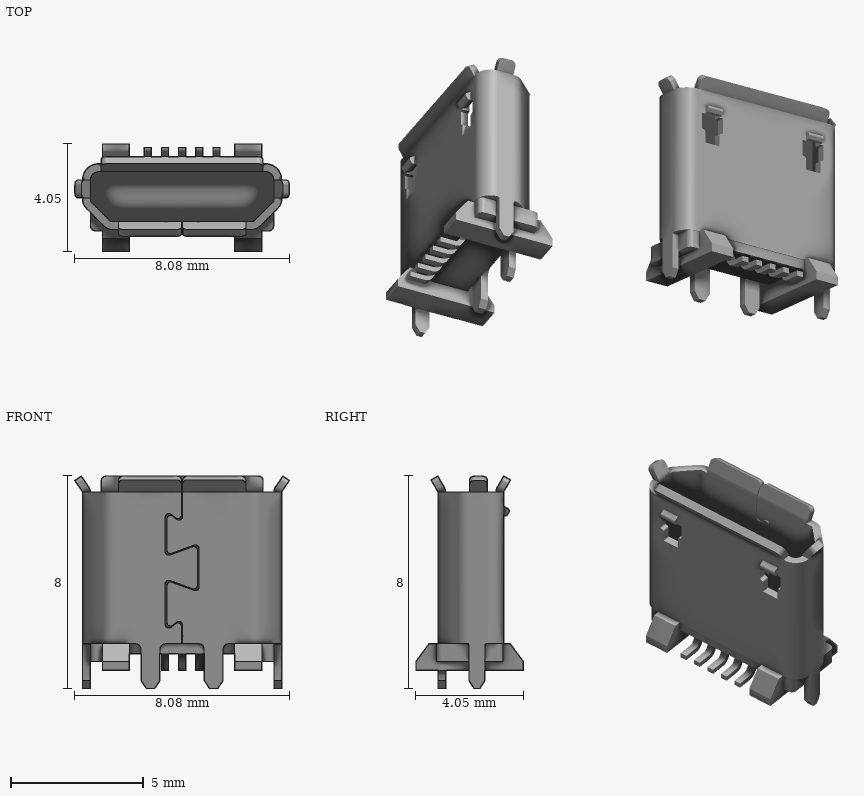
import cadquery as cq
import math


sheet = 0.3
shell_height = 5.71
half_width = 3.75
back_y = 1.285
front_y = -1.195
back_corner_radius = 0.615
front_bend_radius = 0.5
slope_run = 0.945

flare_length = 0.52
flare_corner_radius = 0.2
side_flare_angle = 34
wide_flare_angle = 30
side_flare_width = 0.68
side_flare_y = 0.33
back_flare_width = 6.09
front_flare_half_width = 2.4

seam_gap = 0.03
dovetail_gap = 0.065
dovetail_reach = 0.61
seam_corner_radius = 0.14
dovetail_tip_rise = 0.89
dovetail_root_rise = 0.445
hook_peak_rise = 2.14
hook_trough_rise = 1.68
lower_hook_offset = 0.23
slant_clearance = 0.03

window_x = 2.39
slot_width = 0.69
slot_top = 5.17
slot_bottom = 3.64
wide_width = 1.0
wide_middle_z = 4.51
wide_height = 0.56
flap_angle = 60
flap_length = 0.28
flap_tip_radius = 0.1

leg_length = 1.69
leg_tip_taper = 0.3
leg_tip_width = 0.315
front_leg_x = 1.19
front_leg_width = 0.71
front_leg_root_radius = 0.22
side_leg_y = 0.275
side_leg_width = 0.6
side_leg_tip_width = 0.22
side_leg_root_radius = 0.07

base_half_width = half_width - sheet
base_half_depth = 1.25
base_corner_radius = 0.21
base_depth = 0.67
bridge_depth = 0.38
bridge_front_y = front_y + sheet
floor_thickness = sheet
foot_inner_x = 1.98
foot_outer_x = 3.0
foot_length = 4.05
foot_top_length = 3.055
foot_depth = 1.0

contact_count = 5
contact_pitch = 0.65
contact_width = 0.275
contact_thickness = 0.2
contact_bend_radius = 0.355
contact_tilt = 30
contact_bend_y = 1.29
contact_end_y = 1.9


def box(x_range, y_range, z_range):
    """Box between the given limits."""
    size = [high - low for low, high in (x_range, y_range, z_range)]
    corner = (x_range[0], y_range[0], z_range[0])
    return cq.Workplane("XY").box(*size, centered=False).translate(corner)


def shell_block(inset, height):
    """Solid prism with sharp corners, following the shell outline moved inwards."""
    side = half_width - inset
    corner_shift = inset * math.tan(math.radians(22.5))
    slope_top = front_y + slope_run + corner_shift
    slope_end = half_width - slope_run - corner_shift
    outline = [
        (-side, back_y - inset),
        (side, back_y - inset),
        (side, slope_top),
        (slope_end, front_y + inset),
        (-slope_end, front_y + inset),
        (-side, slope_top),
    ]
    return cq.Workplane("XY").polyline(outline).close().extrude(height)


def make_cavity(height):
    return shell_block(sheet, height).edges("|Z and >Y").fillet(back_corner_radius - sheet)


def make_tube():
    outer = shell_block(0, shell_height).edges("|Z and (not >Y)").fillet(front_bend_radius)
    outer = outer.edges("|Z and >Y").fillet(back_corner_radius)
    return outer.cut(make_cavity(shell_height))


def make_flare(angle, length, width, corner_radius=0):
    """Lip bent outwards (+X) about the outer edge of a wall that rises along Z below it."""
    tilt = math.radians(angle)
    along = (length * math.sin(tilt), length * math.cos(tilt))
    across = (-sheet * math.cos(tilt), sheet * math.sin(tilt))
    arc_middle = (-sheet * math.cos(tilt / 2), sheet * math.sin(tilt / 2))
    flare = (
        cq.Workplane("XZ")
        .lineTo(*along)
        .lineTo(along[0] + across[0], along[1] + across[1])
        .lineTo(*across)
        .threePointArc(arc_middle, (-sheet, 0))
        .close()
        .extrude(width / 2, both=True)
    )
    if corner_radius:
        tip_edges = cq.selectors.ParallelDirSelector(cq.Vector(across[0], 0, across[1]))
        flare = flare.edges(tip_edges).fillet(corner_radius)
    return flare


def turn(body, angle):
    return body.rotate((0, 0, 0), (0, 0, 1), angle)


def make_mouth_flares():
    side = make_flare(side_flare_angle, flare_length, side_flare_width, flare_corner_radius)
    back = make_flare(wide_flare_angle, flare_length, back_flare_width, flare_corner_radius)
    front_width = front_flare_half_width - seam_gap / 2
    front_x = front_flare_half_width - front_width / 2
    front = make_flare(wide_flare_angle, flare_length, front_width, flare_corner_radius)
    return [
        side.translate((half_width, side_flare_y, shell_height)),
        turn(side, 180).translate((-half_width, side_flare_y, shell_height)),
        turn(back, 90).translate((0, back_y, shell_height)),
        turn(front, -90).translate((front_x, front_y, shell_height)),
        turn(front, -90).translate((-front_x, front_y, shell_height)),
    ]


def right_of_seam(side):
    """Front wall to the right of one edge of the seam; side is -1 or +1 for its left or right edge."""
    middle = shell_height / 2
    straight_x = side * seam_gap / 2
    left_x = -dovetail_reach + side * dovetail_gap / 2
    right_x = dovetail_reach + side * dovetail_gap / 2
    clearance = side * slant_clearance
    root_rise = dovetail_root_rise + clearance
    tip_rise = dovetail_tip_rise + clearance
    trough_rise = hook_trough_rise - clearance
    peak_rise = hook_peak_rise - clearance
    corners = [
        (straight_x, middle + trough_rise),
        (left_x, middle + peak_rise),
        (left_x, middle + root_rise),
        (right_x, middle + tip_rise),
        (right_x, middle - tip_rise),
        (left_x, middle - root_rise),
        (left_x, middle - peak_rise - lower_hook_offset),
        (straight_x, middle - trough_rise - lower_hook_offset),
    ]
    far_x = 2 * dovetail_reach
    top_end = [(far_x, shell_height), (straight_x, shell_height)]
    bottom_end = [(straight_x, 0), (far_x, 0)]
    outline = top_end + corners + bottom_end
    region = cq.Workplane("XZ", origin=(0, front_y + sheet, 0)).polyline(outline).close().extrude(sheet)
    return region.edges("|Y and (not >X) and (not >Z) and (not <Z)").fillet(seam_corner_radius)


def make_seam():
    return right_of_seam(-1).cut(right_of_seam(1))


def make_window(x):
    """Cross-shaped opening: a slot with a wider band that narrows again along S-shaped ledges."""
    slot_half = slot_width / 2
    band_half = wide_width / 2
    ledge_radius = (band_half - slot_half) / 2
    arc_offset = ledge_radius * math.cos(math.pi / 4)
    band_top = wide_middle_z + wide_height / 2
    band_bottom = wide_middle_z - wide_height / 2
    inflection = (band_half - ledge_radius, band_bottom - ledge_radius)
    upper_arc_middle = (inflection[0] + arc_offset, band_bottom - arc_offset)
    lower_arc_middle = (slot_half + ledge_radius - arc_offset, inflection[1] - ledge_radius + arc_offset)
    right_half = (
        cq.Workplane("XZ", origin=(0, back_y, 0))
        .moveTo(0, slot_top)
        .lineTo(slot_half, slot_top)
        .lineTo(slot_half, band_top)
        .lineTo(band_half, band_top)
        .lineTo(band_half, band_bottom)
        .threePointArc(upper_arc_middle, inflection)
        .threePointArc(lower_arc_middle, (slot_half, inflection[1] - ledge_radius))
        .lineTo(slot_half, slot_bottom)
        .lineTo(0, slot_bottom)
        .close()
        .extrude(sheet)
    )
    return right_half.union(right_half.mirror("YZ")).translate((x, 0, 0))


def make_flap(x):
    """Latch flap with a rounded tip, bent outwards and down from the top of a window."""
    flap = make_flare(flap_angle, flap_length, slot_width)
    tilt = math.radians(flap_angle)
    tip_face = cq.DirectionMinMaxSelector(cq.Vector(math.sin(tilt), 0, math.cos(tilt)))
    flap = flap.faces(tip_face).edges("|Y").fillet(flap_tip_radius)
    flap = turn(flap.rotate((0, 0, 0), (1, 0, 0), 180), 90)
    return flap.translate((x, back_y, slot_top))


def make_leg(width, tip_width, root_radius):
    """Leg hanging from Z = 0 with rounded roots and a tapered tip; its outer face is at Y = 0."""
    half = width / 2
    root = half + root_radius
    arc_x = root - root_radius * math.cos(math.pi / 4)
    arc_z = root_radius * (math.sin(math.pi / 4) - 1)
    taper_z = leg_tip_taper - leg_length
    return (
        cq.Workplane("XZ", origin=(0, sheet, 0))
        .moveTo(-root, 0)
        .threePointArc((-arc_x, arc_z), (-half, -root_radius))
        .lineTo(-half, taper_z)
        .lineTo(-tip_width / 2, -leg_length)
        .lineTo(tip_width / 2, -leg_length)
        .lineTo(half, taper_z)
        .lineTo(half, -root_radius)
        .threePointArc((arc_x, arc_z), (root, 0))
        .close()
        .extrude(sheet)
    )


def make_legs():
    front = make_leg(front_leg_width, leg_tip_width, front_leg_root_radius)
    side = make_leg(side_leg_width, side_leg_tip_width, side_leg_root_radius)
    return [
        front.translate((front_leg_x, front_y, 0)),
        front.translate((-front_leg_x, front_y, 0)),
        turn(side, 90).translate((half_width, side_leg_y, 0)),
        turn(side, -90).translate((-half_width, side_leg_y, 0)),
    ]


def make_foot():
    """Foot on the +X side, running the full depth with sloping ends."""
    profile = [
        (-foot_length / 2, -foot_depth),
        (foot_length / 2, -foot_depth),
        (foot_length / 2, -base_depth),
        (foot_top_length / 2, 0),
        (-foot_top_length / 2, 0),
        (-foot_length / 2, -base_depth),
    ]
    foot = cq.Workplane("YZ", origin=(foot_inner_x, 0, 0)).polyline(profile).close()
    return foot.extrude(foot_outer_x - foot_inner_x)


def make_base():
    depth_range = (-base_half_depth, base_half_depth)
    base = box((-base_half_width, base_half_width), depth_range, (-base_depth, 0))
    base = base.edges("|Z").fillet(base_corner_radius)
    inner_x = (-foot_inner_x, foot_inner_x)
    base = base.cut(box(inner_x, depth_range, (-base_depth, -bridge_depth)))
    base = base.cut(box(inner_x, (-base_half_depth, bridge_front_y), (-base_depth, 0)))
    foot = make_foot()
    floor = make_cavity(floor_thickness)
    return base.union(foot).union(foot.mirror("YZ")).union(floor)


def make_contact():
    """Contact sloping back out of the bridge, then bent into a flat tail."""
    tilt = math.radians(contact_tilt)
    bend_z = contact_bend_radius - foot_depth
    inner_radius = contact_bend_radius - contact_thickness
    slope_length = (-bend_z - bridge_depth / 2) / math.cos(tilt)

    def bend_point(radius, angle):
        return (contact_bend_y - radius * math.cos(angle), bend_z - radius * math.sin(angle))

    def slope_start(radius):
        y, z = bend_point(radius, tilt)
        return (y - slope_length * math.sin(tilt), z + slope_length * math.cos(tilt))

    arc_angle = (tilt + math.pi / 2) / 2
    return (
        cq.Workplane("YZ")
        .moveTo(*slope_start(contact_bend_radius))
        .lineTo(*bend_point(contact_bend_radius, tilt))
        .threePointArc(bend_point(contact_bend_radius, arc_angle), (contact_bend_y, -foot_depth))
        .lineTo(contact_end_y, -foot_depth)
        .lineTo(contact_end_y, contact_thickness - foot_depth)
        .lineTo(contact_bend_y, contact_thickness - foot_depth)
        .threePointArc(bend_point(inner_radius, arc_angle), bend_point(inner_radius, tilt))
        .lineTo(*slope_start(inner_radius))
        .close()
        .extrude(contact_width / 2, both=True)
    )


shell = make_tube().cut(make_seam())
for x in (-window_x, window_x):
    shell = shell.cut(make_window(x)).union(make_flap(x))
for piece in make_mouth_flares() + make_legs():
    shell = shell.union(piece)

result = shell.union(make_base())
contact = make_contact()
for index in range(contact_count):
    contact_x = (index - (contact_count - 1) / 2) * contact_pitch
    result = result.union(contact.translate((contact_x, 0, 0)))